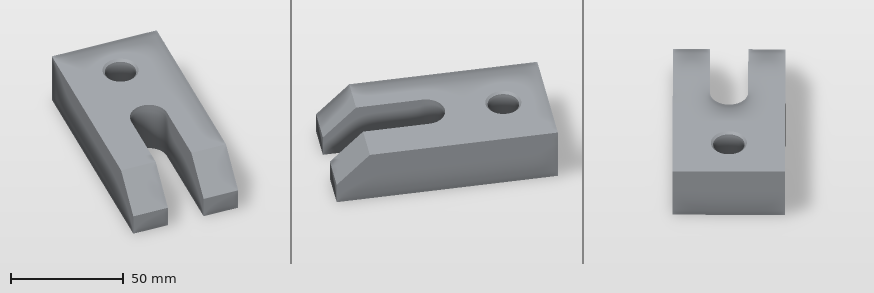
import cadquery as cq

length = 100.0
width = 50.0
height = 25.0
nose_bevel = 15.0

slot_width = 17.0
slot_center_x = 55.0

hole_x = 20.0
hole_diameter = 14.0
countersink_diameter = 16.0
hole_chamfer = (countersink_diameter - hole_diameter) / 2


def make_block():
    """Block centred on Y, with its base at Z = 0 and its plain end at X = 0."""
    block = cq.Workplane("XY").box(length, width, height, centered=(False, True, False))
    return block.edges(">X and >Z").chamfer(nose_bevel)


def make_slot():
    """Slot with one rounded end, running out through the bevelled end."""
    radius = slot_width / 2
    return (
        cq.Workplane("XY")
        .moveTo(length, -radius)
        .lineTo(slot_center_x, -radius)
        .threePointArc((slot_center_x - radius, 0), (slot_center_x, radius))
        .lineTo(length, radius)
        .close()
        .extrude(height)
    )


def make_hole():
    """Vertical hole that flares at 45 degrees to the countersink at the top."""
    bore_radius = hole_diameter / 2
    profile = (
        cq.Workplane("XZ")
        .lineTo(bore_radius, 0)
        .lineTo(bore_radius, height - hole_chamfer)
        .lineTo(countersink_diameter / 2, height)
        .lineTo(0, height)
        .close()
    )
    return profile.revolve(360, (0, 0), (0, 1)).translate((hole_x, 0, 0))


result = make_block().cut(make_slot()).cut(make_hole())